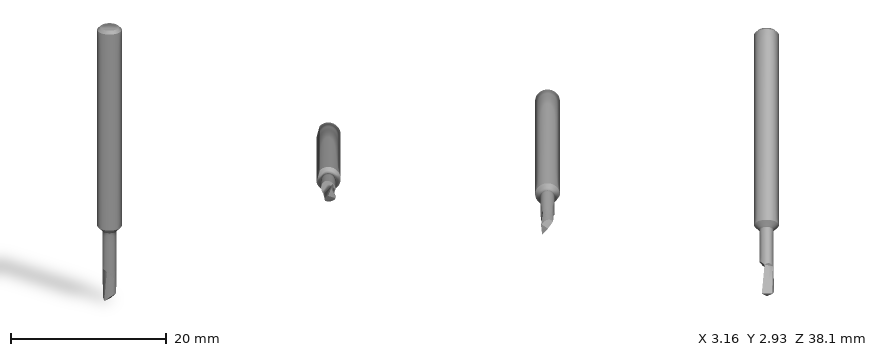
import cadquery as cq
import math

length = 38.1
shank_radius = 1.58
flat_offset = 1.353
top_chamfer = 0.4
shank_bottom = 10.25

neck_radius = 0.9
neck_top = shank_bottom - (shank_radius - neck_radius)
tip_top = 4.15

tip_radius = 1.01
upper_rake_angle = 27.0
lower_rake_angle = 6.0
upper_flank_angle = 287.0
lower_flank_angle = 267.0

relief_start_x = 0.08
relief_rise = 0.08
relief_margin = 0.4


def polar(radius, angle):
    """Point at a given radius and direction in degrees."""
    turn = math.radians(angle)
    return radius * math.cos(turn), radius * math.sin(turn)


def make_shank():
    """Round shank with a chamfered top, a conical bottom and one long flat."""
    profile = (
        cq.Workplane("XZ")
        .moveTo(0, neck_top)
        .lineTo(neck_radius, neck_top)
        .lineTo(shank_radius, shank_bottom)
        .lineTo(shank_radius, length - top_chamfer)
        .lineTo(shank_radius - top_chamfer, length)
        .lineTo(0, length)
        .close()
    )
    shank = profile.revolve(360, (0, 0, 0), (0, 1, 0))
    flat_cutter = (
        cq.Workplane("XY")
        .box(2 * shank_radius, shank_radius, length, centered=(True, False, False))
        .translate((0, flat_offset, 0))
    )
    return shank.cut(flat_cutter)


def runout_cutter(face_offset, outward_angle):
    """Wedge that slopes at 45 degrees from a tip face out to the neck surface."""
    reach = 2 * neck_radius
    return (
        cq.Workplane("XZ")
        .moveTo(face_offset, tip_top)
        .lineTo(face_offset + reach, tip_top)
        .lineTo(face_offset + reach, tip_top + reach)
        .close()
        .extrude(reach, both=True)
        .rotate((0, 0, 0), (0, 0, 1), outward_angle)
    )


def make_neck():
    """Slim cylinder whose lower end slopes into the rake and flank faces."""
    neck = (
        cq.Workplane("XY", origin=(0, 0, tip_top))
        .circle(neck_radius)
        .extrude(neck_top - tip_top)
    )
    flank_start = upper_rake_angle + 180
    half_flank = (upper_flank_angle - flank_start) / 2
    flank_offset = neck_radius * math.cos(math.radians(half_flank))
    neck = neck.cut(runout_cutter(0, upper_rake_angle + 90))
    return neck.cut(runout_cutter(flank_offset, flank_start + half_flank))


def tip_section(height, radius, rake_angle, flank_angle):
    """Half disc with its leading corner cut off by the straight flank."""
    right_angle = rake_angle + 360
    return (
        cq.Workplane("XY", origin=(0, 0, height))
        .moveTo(*polar(radius, rake_angle + 180))
        .lineTo(*polar(radius, flank_angle))
        .threePointArc(polar(radius, (flank_angle + right_angle) / 2), polar(radius, right_angle))
        .close()
        .wires()
        .val()
    )


def make_tip():
    """Twisted blade that widens downward, with a relieved end."""
    upper = tip_section(tip_top, neck_radius, upper_rake_angle, upper_flank_angle)
    lower = tip_section(0, tip_radius, lower_rake_angle, lower_flank_angle)
    tip = cq.Workplane(cq.Solid.makeLoft([lower, upper], True))

    corner_x = polar(tip_radius, lower_rake_angle + 180)[0]
    outer_x = tip_radius + relief_margin
    outer_z = relief_rise + outer_x - relief_start_x
    end_cutter = (
        cq.Workplane("XZ")
        .moveTo(corner_x, 0)
        .lineTo(relief_start_x, relief_rise)
        .lineTo(outer_x, outer_z)
        .lineTo(outer_x, -relief_margin)
        .lineTo(corner_x, -relief_margin)
        .close()
        .extrude(tip_radius + relief_margin, both=True)
    )
    return tip.cut(end_cutter)


result = make_shank().union(make_neck()).union(make_tip())